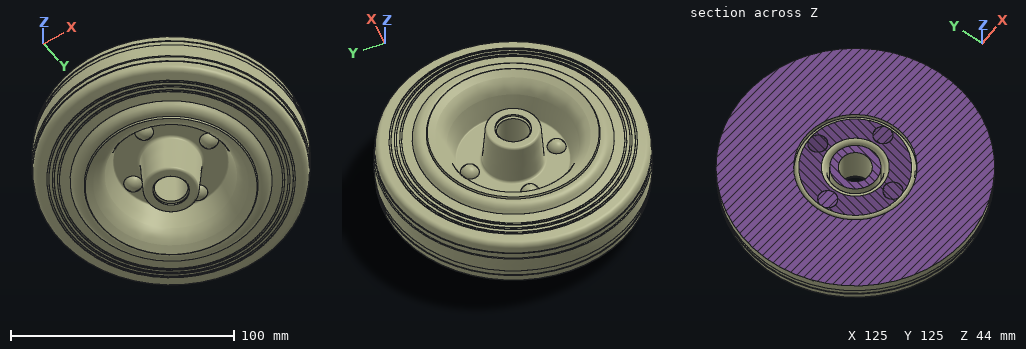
import cadquery as cq
import math

wheel_radius = 62.5
hub_half_length = 22.0

rib_half_width = 4.0
groove_outer_z = 7.4
groove_radius = 61.8
shoulder_radius = 61.9
shoulder_z = 9.6

shoulder_bulge = 0.8
wall_outer_radius = 59.5
wall_outer_z = 12.6
wall_inner_radius = 45.2
wall_inner_z = 14.9
lip_base_radius = 44.1
lip_base_z = 16.4
lip_bulge = 0.9
tyre_bore_radius = 27.5

ring_outer_radius = 55.6
ring_spacing = 2.4
ring_count = 3
ring_width = 0.9
ring_height = 0.4

sheet_thickness = 1.0
rim_edge = (38.5, 19.0)
dish_corner = (31.1, 15.1)
floor_corner = (25.8, sheet_thickness)
hub_foot_corner = (14.0, sheet_thickness)
hub_top_corner = (12.5, hub_half_length)
hub_opening = (8.1, hub_half_length)
dish_bend = 11.0
floor_bend = 0.8
hub_foot_bend = 1.4
hub_top_bend = 1.2

sleeve_recess = 2.0
sleeve_bore_radius = 7.5

rivet_count = 4
rivet_circle_radius = 20.9
rivet_radius = 4.4


def toward(start, end, distance):
    """The point at a distance from start along the line to end."""
    length = math.dist(start, end)
    return (
        start[0] + (end[0] - start[0]) * distance / length,
        start[1] + (end[1] - start[1]) * distance / length,
    )


def left_of(start, end, distance):
    """The point at a distance from start, square to the line to end and on its left."""
    length = math.dist(start, end)
    return (
        start[0] - (end[1] - start[1]) * distance / length,
        start[1] + (end[0] - start[0]) * distance / length,
    )


def bulged_arc(path, start, end, bulge):
    """Add an arc from start to end that rises by bulge to the right of its chord."""
    chord_middle = ((start[0] + end[0]) / 2, (start[1] + end[1]) / 2)
    return path.threePointArc(left_of(chord_middle, end, -bulge), end)


def rounded_corner(path, before, corner, after, radius):
    """Add a straight run to a corner and a tangent arc round it."""
    to_before = math.atan2(before[1] - corner[1], before[0] - corner[0])
    to_after = math.atan2(after[1] - corner[1], after[0] - corner[0])
    half_angle = math.acos(math.cos(to_after - to_before)) / 2
    setback = radius / math.tan(half_angle)
    arc_start = toward(corner, before, setback)
    arc_end = toward(corner, after, setback)
    chord_middle = ((arc_start[0] + arc_end[0]) / 2, (arc_start[1] + arc_end[1]) / 2)
    arc_middle = toward(corner, chord_middle, radius / math.sin(half_angle) - radius)
    return path.lineTo(*arc_start).threePointArc(arc_middle, arc_end)


def underside_corner(before, corner, after):
    """The corner of the sheet's underside that lies below a corner of its upper side."""
    turn_in = math.atan2(corner[1] - before[1], corner[0] - before[0])
    turn_out = math.atan2(after[1] - corner[1], after[0] - corner[0])
    half_turn = math.remainder(turn_out - turn_in, 2 * math.pi) / 2
    square_direction = turn_in + half_turn + math.pi / 2
    distance = sheet_thickness / math.cos(half_turn)
    return (
        corner[0] + distance * math.cos(square_direction),
        corner[1] + distance * math.sin(square_direction),
    )


under_rim_edge = left_of(rim_edge, dish_corner, sheet_thickness)
under_dish_corner = underside_corner(rim_edge, dish_corner, floor_corner)
under_floor_corner = underside_corner(dish_corner, floor_corner, hub_foot_corner)
under_foot_corner = underside_corner(floor_corner, hub_foot_corner, hub_top_corner)
under_top_corner = underside_corner(hub_foot_corner, hub_top_corner, hub_opening)
under_opening = left_of(hub_opening, hub_top_corner, -sheet_thickness)
under_dish_bend = dish_bend - sheet_thickness
under_floor_bend = floor_bend + sheet_thickness
under_foot_bend = hub_foot_bend + sheet_thickness
under_top_bend = hub_top_bend - sheet_thickness


def revolved(path):
    """Close a profile and turn it about the wheel axis."""
    return path.close().revolve(360, (0, 0, 0), (0, 1, 0))


def crown_radius(z):
    """Radius of the crowned tread at a height."""
    return wheel_radius - (wheel_radius - shoulder_radius) * (z / shoulder_z) ** 2


def wall_height(radius):
    """Height of the side wall cone at a radius."""
    slope = (wall_inner_z - wall_outer_z) / (wall_outer_radius - wall_inner_radius)
    return wall_outer_z + slope * (wall_outer_radius - radius)


def make_wall_ring(outer_radius):
    top_z = wall_height(outer_radius) + ring_height
    return (
        cq.Workplane("XY")
        .workplane(offset=shoulder_z)
        .circle(outer_radius)
        .circle(outer_radius - ring_width)
        .extrude(top_z - shoulder_z)
    )


def make_tyre_half():
    rib_middle_z = rib_half_width / 2
    shoulder = (shoulder_radius, shoulder_z)
    wall_outer = (wall_outer_radius, wall_outer_z)
    lip_base = (lip_base_radius, lip_base_z)
    dish_run = (tyre_bore_radius - under_floor_corner[0]) / (under_dish_corner[0] - under_floor_corner[0])
    bore_top_z = under_floor_corner[1] + dish_run * (under_dish_corner[1] - under_floor_corner[1])
    bore_top = (tyre_bore_radius, bore_top_z)

    path = (
        cq.Workplane("XZ")
        .moveTo(tyre_bore_radius, 0)
        .lineTo(wheel_radius, 0)
        .threePointArc(
            (crown_radius(rib_middle_z), rib_middle_z),
            (crown_radius(rib_half_width), rib_half_width),
        )
        .lineTo(groove_radius, rib_half_width)
        .lineTo(groove_radius, groove_outer_z)
        .lineTo(crown_radius(groove_outer_z), groove_outer_z)
        .lineTo(*shoulder)
    )
    path = bulged_arc(path, shoulder, wall_outer, shoulder_bulge)
    path = path.lineTo(wall_inner_radius, wall_inner_z).lineTo(*lip_base)
    path = bulged_arc(path, lip_base, under_rim_edge, lip_bulge)
    path = rounded_corner(path, under_rim_edge, under_dish_corner, bore_top, under_dish_bend)
    tyre_half = revolved(path.lineTo(*bore_top))

    for i in range(ring_count):
        tyre_half = tyre_half.union(make_wall_ring(ring_outer_radius - i * ring_spacing))
    return tyre_half


def make_tyre():
    upper_half = make_tyre_half()
    return upper_half.union(upper_half.mirror("XY"))


def make_rim_half():
    path = cq.Workplane("XZ").moveTo(*rim_edge)
    path = rounded_corner(path, rim_edge, dish_corner, floor_corner, dish_bend)
    path = rounded_corner(path, dish_corner, floor_corner, hub_foot_corner, floor_bend)
    path = rounded_corner(path, floor_corner, hub_foot_corner, hub_top_corner, hub_foot_bend)
    path = rounded_corner(path, hub_foot_corner, hub_top_corner, hub_opening, hub_top_bend)
    path = path.lineTo(*hub_opening).lineTo(*under_opening)
    path = rounded_corner(path, under_opening, under_top_corner, under_foot_corner, under_top_bend)
    path = rounded_corner(path, under_top_corner, under_foot_corner, under_floor_corner, under_foot_bend)
    path = rounded_corner(path, under_foot_corner, under_floor_corner, under_dish_corner, under_floor_bend)
    path = rounded_corner(path, under_floor_corner, under_dish_corner, under_rim_edge, under_dish_bend)
    return revolved(path.lineTo(*under_rim_edge))


def make_sleeve():
    half_length = hub_half_length - sleeve_recess
    return (
        cq.Workplane("XY")
        .workplane(offset=-half_length)
        .circle(under_top_corner[0])
        .circle(sleeve_bore_radius)
        .extrude(2 * half_length)
    )


def make_rivet(angle):
    x = rivet_circle_radius * math.cos(angle)
    y = rivet_circle_radius * math.sin(angle)
    return cq.Workplane("XY").sphere(rivet_radius).translate((x, y, 0))


tyre = make_tyre()
sleeve = make_sleeve()
rivets = [make_rivet(2 * math.pi * i / rivet_count) for i in range(rivet_count)]

upper_rim = make_rim_half()
for rivet in rivets:
    upper_rim = upper_rim.cut(rivet)
lower_rim = upper_rim.mirror("XY")

result = cq.Compound.makeCompound(
    [tyre.val(), upper_rim.val(), lower_rim.val(), sleeve.val()] + [rivet.val() for rivet in rivets]
)